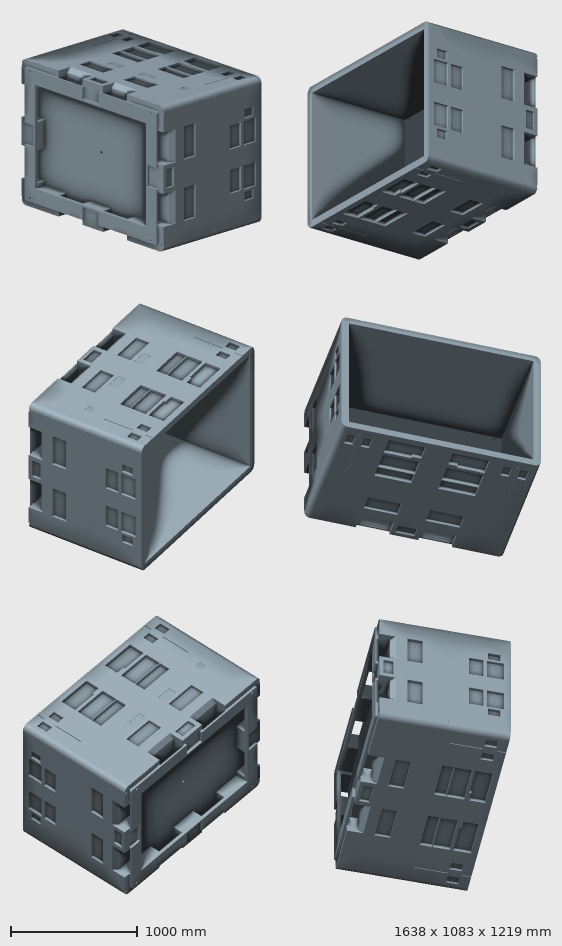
import cadquery as cq


LENGTH = 1638.0
WIDTH = 1219.0
HEIGHT = 1083.0
HALF_LENGTH = LENGTH / 2
HALF_WIDTH = WIDTH / 2
RIM_Y = HEIGHT / 2
CORNER_RADIUS = 49.0
WALL = 60.0

LONG_SIDES = (0, 180)
END_SIDES = (90, 270)

GROUND_Y = -HEIGHT / 2
LEG_BOTTOM_Y = -520.0
CHANNEL_TOP_Y = -426.0
FLOOR = 65.0
FLOOR_TOP_Y = CHANNEL_TOP_Y + FLOOR
LONG_WALL_Y = -54.0
END_WALL_Y = 33.0
OVERLAP = 16.0

CHANNEL_INNER = 118.0
CHANNEL_OUTER = 395.0
RAMP = 38.0

SKID_TOP_Y = -513.0
SKID_LENGTH = 1527.0
SKID_WIDTH = 1114.0
SKID_RADIUS = 20.0
SKID_CHAMFER = 18.0
WINDOW_LENGTH = 1281.0
WINDOW_WIDTH = 867.0
NOTCH_HALF_WIDTH = 90.0
NOTCH_LAND = 16.0

CENTRE_DRAIN_RADIUS = 15.0
CORNER_DRAIN_RADIUS = 10.0
CORNER_DRAIN_X = 700.0
CORNER_DRAIN_Z = 530.0

BASE_POCKET_Y = (-295.0, -170.0)
BASE_POCKET_DEPTH = 25.0
LEG_POCKET_HALF_WIDTH = 79.0
LEG_POCKET_Y = (-487.0, -408.0)

LABEL_DEPTH = 3.0
PLATE_INNER = 111.0
PLATE_OUTER = 250.0
PLATE_BOTTOM_Y = -135.0
LABEL_TOP_Y = -60.0
TAG_X = (572.0, 626.0)
TAG_BOTTOM_Y = -120.0

FOOT_NOTCH_LENGTH = 31.0
FOOT_NOTCH_HEIGHT = 5.0
FOOT_NOTCH_Z = (545.0, 570.0)

JOINT_X = HALF_LENGTH - WALL
STEP_X = 750.0
TONGUE_X = 739.0
STEP_TOP_Y = 23.0
STEP_BOTTOM_Y = 3.0

LATCH_TAB_Y = (350.0, 470.0)
LATCH_POCKET_Y = (359.0, 457.0)
LATCH_POCKET_DEPTH = 25.0
LONG_HATCH_HALF = 652.0
LONG_HATCH_Y = 30.0
LONG_TAB_REACH = 33.0
LONG_CHAMFER = (46.0, 52.0)
LONG_LATCH_POCKET = (540.0, 608.0)
LONG_WALL_LATCH_POCKET = (678.0, 745.0)
HATCH_GAP = 7.0
HATCH_GAP_DEPTH = 8.0
END_HATCH_HALF = 416.0
END_HATCH_Y = 154.0
END_TAB_REACH = 28.0
END_CHAMFER = (33.0, 33.0)
END_LATCH_POCKET = (308.0, 383.0)

LONG_PANEL = (111.0, 415.0)
LONG_PANEL_DEPTH = 33.0
LONG_LOW_Y = (77.0, 172.0)
LONG_MID_Y = (179.0, 320.0)
LONG_HIGH_Y = (345.0, 488.0)
LONG_HIGH_STEP_X = 187.0
LONG_HIGH_STEP_Y = 362.0
END_PANEL = (85.0, 285.0)
END_PANEL_DEPTH = 23.0
END_LOW_Y = (203.0, 320.0)
END_HIGH_Y = (349.0, 485.0)


def block(x_range, y_range, z_range):
    """Box between the given limits."""
    size = [high - low for low, high in (x_range, y_range, z_range)]
    corner = (x_range[0], y_range[0], z_range[0])
    return cq.Workplane("XY").box(*size, centered=False).translate(corner)


def upright(length, width, y_range):
    """Box centred on the Y axis."""
    return block((-length / 2, length / 2), y_range, (-width / 2, width / 2))


def plate(points, face_z, depth):
    """Outline in X and Y that goes `depth` inwards from a face at `face_z`."""
    return cq.Workplane("XY").workplane(offset=face_z - depth).polyline(points).close().extrude(depth)


def pocket(x_range, y_range, face_z, depth):
    """Cutter for a rectangular pocket in a face at `face_z`."""
    return block(x_range, y_range, (face_z - depth, face_z + OVERLAP))


def pocket_pair(x_range, y_range, face_z, depth):
    """Cutter for two rectangular pockets, mirrored about x = 0."""
    one = pocket(x_range, y_range, face_z, depth)
    return one.union(one.mirror("YZ"))


def turned(body, angle):
    return body.rotate((0, 0, 0), (0, 1, 0), angle)


def drain(x, z, radius):
    height = FLOOR_TOP_Y - GROUND_Y + 2 * OVERLAP
    top = cq.Workplane("XZ", origin=(x, FLOOR_TOP_Y + OVERLAP, z))
    return top.circle(radius).extrude(height)


def foot_notches(bottom_y):
    """Cutters for the small notches beside the four corners of an underside at `bottom_y`."""
    x_range = (HALF_LENGTH - FOOT_NOTCH_LENGTH, HALF_LENGTH + OVERLAP)
    one = block(x_range, (bottom_y - OVERLAP, bottom_y + FOOT_NOTCH_HEIGHT), FOOT_NOTCH_Z)
    pair = one.union(one.mirror("XY"))
    return pair.union(pair.mirror("YZ"))


def channel_prism(profile):
    """Two prisms as wide as the fork channels, from a profile in Y and Z."""
    width = CHANNEL_OUTER - CHANNEL_INNER
    one = cq.Workplane("YZ", origin=(CHANNEL_INNER, 0, 0)).polyline(profile).close().extrude(width)
    return one.union(one.mirror("YZ"))


def skid_frame():
    """Flat frame under the legs, notched around the middle legs and bevelled at the channels."""
    levels = (GROUND_Y, SKID_TOP_Y)
    frame = upright(SKID_LENGTH, SKID_WIDTH, levels).edges("|Y").fillet(SKID_RADIUS)
    for angles, half_side, half_window in (
        (LONG_SIDES, SKID_WIDTH / 2, WINDOW_WIDTH / 2),
        (END_SIDES, SKID_LENGTH / 2, WINDOW_LENGTH / 2),
    ):
        notch = block(
            (-NOTCH_HALF_WIDTH, NOTCH_HALF_WIDTH), levels, (half_window + NOTCH_LAND, half_side)
        )
        bevel_profile = [
            (SKID_TOP_Y, half_side),
            (SKID_TOP_Y, half_side - SKID_CHAMFER),
            (SKID_TOP_Y - SKID_CHAMFER, half_side),
        ]
        bevel = channel_prism(bevel_profile)
        for angle in angles:
            frame = frame.cut(turned(notch, angle)).cut(turned(bevel, angle))
    return frame


def fork_channels(half_span):
    """Cutter for two fork channels along Z, with a ramp above each mouth."""
    profile = [
        (LEG_BOTTOM_Y, -half_span),
        (CHANNEL_TOP_Y + RAMP, -half_span),
        (CHANNEL_TOP_Y, RAMP - half_span),
        (CHANNEL_TOP_Y, half_span - RAMP),
        (CHANNEL_TOP_Y + RAMP, half_span),
        (LEG_BOTTOM_Y, half_span),
    ]
    return channel_prism(profile)


def side_pockets(face_z):
    """Cutter for the pockets in one side of the base."""
    upper = pocket_pair((CHANNEL_INNER, CHANNEL_OUTER), BASE_POCKET_Y, face_z, BASE_POCKET_DEPTH)
    leg_x = (-LEG_POCKET_HALF_WIDTH, LEG_POCKET_HALF_WIDTH)
    return upper.union(pocket(leg_x, LEG_POCKET_Y, face_z, BASE_POCKET_DEPTH))


def long_wall_outline():
    """Outer outline of a long wall, stepped in to a tongue at its foot."""
    right = [
        (TONGUE_X, LONG_WALL_Y),
        (TONGUE_X, STEP_BOTTOM_Y),
        (STEP_X, STEP_BOTTOM_Y),
        (STEP_X, STEP_TOP_Y),
        (JOINT_X, STEP_TOP_Y),
        (JOINT_X, RIM_Y),
    ]
    return right + [(-x, y) for x, y in reversed(right)]


def make_base():
    base = upright(LENGTH, WIDTH, (LEG_BOTTOM_Y, END_WALL_Y)).edges("|Y").fillet(CORNER_RADIUS)
    inner_length = LENGTH - 2 * WALL
    inner_width = WIDTH - 2 * WALL
    base = base.cut(upright(inner_length, inner_width, (FLOOR_TOP_Y, END_WALL_Y)))
    base = base.cut(plate(long_wall_outline(), HALF_WIDTH, WIDTH))

    base = base.cut(fork_channels(HALF_WIDTH))
    base = base.cut(turned(fork_channels(HALF_LENGTH), 90))
    base = base.cut(foot_notches(LEG_BOTTOM_Y))

    base = base.union(skid_frame())
    base = base.cut(upright(WINDOW_LENGTH, WINDOW_WIDTH, (GROUND_Y, CHANNEL_TOP_Y)))

    for angles, face_z in ((LONG_SIDES, HALF_WIDTH), (END_SIDES, HALF_LENGTH)):
        for angle in angles:
            base = base.cut(turned(side_pockets(face_z), angle))

    plates = pocket_pair(
        (PLATE_INNER, PLATE_OUTER), (PLATE_BOTTOM_Y, LABEL_TOP_Y), HALF_WIDTH, LABEL_DEPTH
    )
    tag = pocket(TAG_X, (TAG_BOTTOM_Y, LABEL_TOP_Y), HALF_WIDTH, LABEL_DEPTH)
    base = base.cut(plates).cut(tag)

    base = base.cut(drain(0, 0, CENTRE_DRAIN_RADIUS))
    for x in (-CORNER_DRAIN_X, CORNER_DRAIN_X):
        for z in (-CORNER_DRAIN_Z, CORNER_DRAIN_Z):
            base = base.cut(drain(x, z, CORNER_DRAIN_RADIUS))
    return base


def hatch_blank(half_width, bottom_y, chamfer, tab_reach, face_z):
    """Plain hatch with bevelled lower corners and a notch in each side for the latch tab."""
    chamfer_x, chamfer_y = chamfer
    tab_bottom, tab_top = LATCH_TAB_Y
    right = [
        (half_width - chamfer_x, bottom_y),
        (half_width, bottom_y + chamfer_y),
        (half_width, tab_bottom),
        (half_width - tab_reach, tab_bottom),
        (half_width - tab_reach, tab_top),
        (half_width, tab_top),
        (half_width, RIM_Y),
    ]
    return plate(right + [(-x, y) for x, y in reversed(right)], face_z, WALL)


def long_hatch_blank():
    return hatch_blank(LONG_HATCH_HALF, LONG_HATCH_Y, LONG_CHAMFER, LONG_TAB_REACH, HALF_WIDTH)


def end_hatch_blank():
    return hatch_blank(END_HATCH_HALF, END_HATCH_Y, END_CHAMFER, END_TAB_REACH, HALF_LENGTH)


def make_long_wall(angle):
    wall = plate(long_wall_outline(), HALF_WIDTH, WALL).cut(long_hatch_blank())
    latch = pocket_pair(LONG_WALL_LATCH_POCKET, LATCH_POCKET_Y, HALF_WIDTH, LATCH_POCKET_DEPTH)
    return turned(wall.cut(latch), angle)


def make_end_wall(angle):
    shell = upright(WIDTH, LENGTH, (END_WALL_Y, RIM_Y)).edges("|Y").fillet(CORNER_RADIUS)
    shell = shell.cut(turned(foot_notches(END_WALL_Y), END_SIDES[0]))
    slab = block((-HALF_WIDTH, HALF_WIDTH), (END_WALL_Y, RIM_Y), (JOINT_X, HALF_LENGTH))
    return turned(shell.intersect(slab).cut(end_hatch_blank()), angle)


def stepped_panels():
    """Cutter for the upper panel pockets, whose lower inner corners are left solid."""
    panels = pocket_pair(LONG_PANEL, LONG_HIGH_Y, HALF_WIDTH, LONG_PANEL_DEPTH)
    ledge_x = (LONG_PANEL[0], LONG_HIGH_STEP_X)
    ledge_y = (LONG_HIGH_Y[0], LONG_HIGH_STEP_Y)
    return panels.cut(pocket_pair(ledge_x, ledge_y, HALF_WIDTH, LONG_PANEL_DEPTH))


def make_long_hatch(angle):
    hatch = long_hatch_blank()
    for y_range in (LONG_LOW_Y, LONG_MID_Y):
        hatch = hatch.cut(pocket_pair(LONG_PANEL, y_range, HALF_WIDTH, LONG_PANEL_DEPTH))
    hatch = hatch.cut(stepped_panels())
    hatch = hatch.cut(
        pocket_pair(LONG_LATCH_POCKET, LATCH_POCKET_Y, HALF_WIDTH, LATCH_POCKET_DEPTH)
    )

    reveal_x = (LONG_HATCH_HALF - HATCH_GAP, LONG_HATCH_HALF)
    straight_bottom = LONG_HATCH_Y + LONG_CHAMFER[1]
    for y_range in ((straight_bottom, LATCH_TAB_Y[0]), (LATCH_TAB_Y[1], RIM_Y)):
        hatch = hatch.cut(pocket_pair(reveal_x, y_range, HALF_WIDTH, HATCH_GAP_DEPTH))
    return turned(hatch, angle)


def make_end_hatch(angle):
    hatch = end_hatch_blank()
    for y_range in (END_LOW_Y, END_HIGH_Y):
        hatch = hatch.cut(pocket_pair(END_PANEL, y_range, HALF_LENGTH, END_PANEL_DEPTH))
    latch = pocket_pair(END_LATCH_POCKET, LATCH_POCKET_Y, HALF_LENGTH, LATCH_POCKET_DEPTH)
    return turned(hatch.cut(latch), angle)


base = make_base()
long_walls = [make_long_wall(angle).val() for angle in LONG_SIDES]
long_hatches = [make_long_hatch(angle).val() for angle in LONG_SIDES]
end_walls = [make_end_wall(angle).val() for angle in END_SIDES]
end_hatches = [make_end_hatch(angle).val() for angle in END_SIDES]

result = cq.Compound.makeCompound(
    [base.val(), *long_walls, *long_hatches, *end_walls, *end_hatches]
)